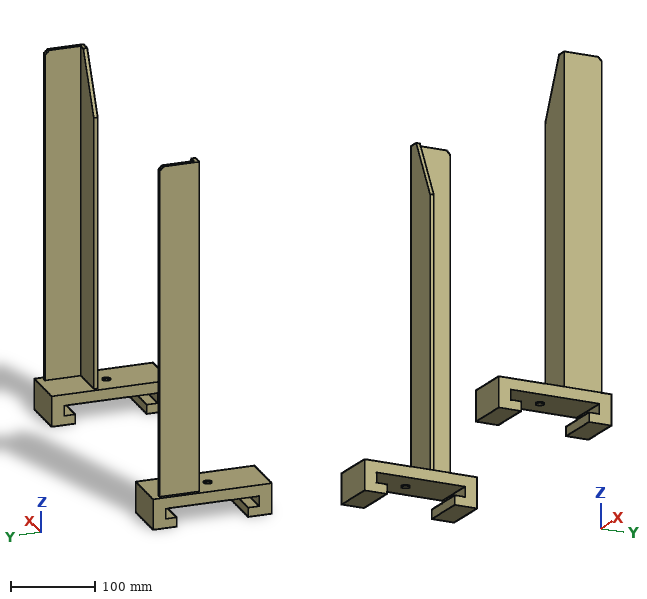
import cadquery as cq

span_x = 410.0
total_height = 459.5

base_width = 60.0
base_depth = 150.0
base_height = 39.0
plate_thickness = 14.2
wall_thickness = 16.0
lip_reach = 30.0
lip_height = 12.0

leg_width = 50.0
leg_thickness = 5.0
upright_side_gap = (base_width - leg_width) / 2
upright_back_gap = 10.0
slope_height = 75.0
slope_top_width = 14.0
corner_chamfer = 5.0

screw_diameter = 10.0
screw_sink = 0.5
screw_drop = 1.5
screw_y = -5.0
socket_diameter = 6.0
socket_depth = 4.5
socket_sides = 6

upright_height = total_height - base_height
base_back = base_depth / 2
base_left = -span_x / 2
upright_left = base_left + upright_side_gap
upright_back = base_back - upright_back_gap
upright_front = upright_back - leg_width


def make_base():
    """C-channel with inward lips and a set screw in its plate."""
    half_slot = base_back - wall_thickness
    half_mouth = base_back - lip_reach
    slot_top = base_height - plate_thickness
    channel = (
        cq.Workplane("YZ", origin=(base_left, 0, 0))
        .moveTo(-base_back, 0)
        .lineTo(-half_mouth, 0)
        .lineTo(-half_mouth, lip_height)
        .lineTo(-half_slot, lip_height)
        .lineTo(-half_slot, slot_top)
        .lineTo(half_slot, slot_top)
        .lineTo(half_slot, lip_height)
        .lineTo(half_mouth, lip_height)
        .lineTo(half_mouth, 0)
        .lineTo(base_back, 0)
        .lineTo(base_back, base_height)
        .lineTo(-base_back, base_height)
        .close()
        .extrude(base_width)
    )
    return add_set_screw(channel, slot_top)


def add_set_screw(channel, slot_top):
    """Fuse a sunken set screw with a hexagon socket into the channel's plate."""
    screw_x = base_left + base_width / 2
    screw_top = base_height - screw_sink
    screw_bottom = slot_top - screw_drop
    recess = (
        cq.Workplane("XY", origin=(screw_x, screw_y, screw_top))
        .circle(screw_diameter / 2)
        .extrude(screw_sink)
    )
    screw = (
        cq.Workplane("XY", origin=(screw_x, screw_y, screw_bottom))
        .circle(screw_diameter / 2)
        .extrude(screw_top - screw_bottom)
    )
    socket = (
        cq.Workplane("XY", origin=(screw_x, screw_y, screw_top))
        .polygon(socket_sides, socket_diameter)
        .extrude(-socket_depth)
    )
    return channel.cut(recess).union(screw).cut(socket)


def make_upright():
    """Angle section with a sloped front leg and a chamfered side leg."""
    front_leg = (
        cq.Workplane("XZ", origin=(upright_left, upright_front, base_height))
        .moveTo(0, 0)
        .lineTo(leg_width, 0)
        .lineTo(leg_width, upright_height - slope_height)
        .lineTo(slope_top_width, upright_height)
        .lineTo(0, upright_height)
        .close()
        .extrude(-leg_thickness)
    )
    side_leg = (
        cq.Workplane("YZ", origin=(upright_left, upright_front, base_height))
        .moveTo(0, 0)
        .lineTo(leg_width, 0)
        .lineTo(leg_width, upright_height - corner_chamfer)
        .lineTo(leg_width - corner_chamfer, upright_height)
        .lineTo(0, upright_height)
        .close()
        .extrude(leg_thickness)
    )
    return front_leg.union(side_leg)


def make_stake(mirrored):
    """One complete stake: the left one, or its mirror image on the right."""
    stake = make_base().union(make_upright())
    return stake.mirror("YZ") if mirrored else stake


stakes = [make_stake(mirrored) for mirrored in (False, True)]

result = cq.Compound.makeCompound([stake.val() for stake in stakes])